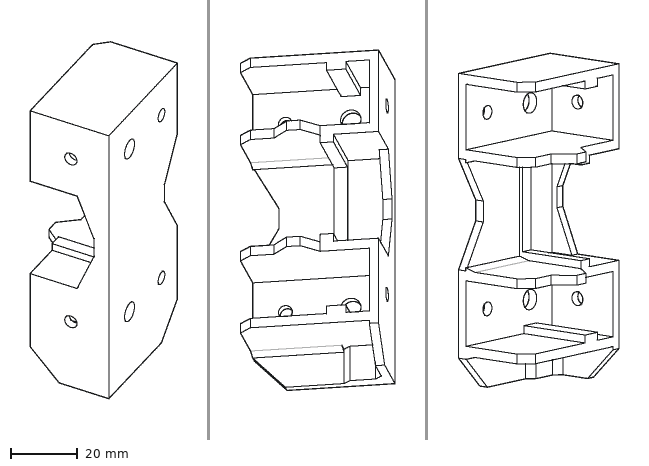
import cadquery as cq

length_x = 33.0
width_y = 43.0
height_z = 97.0
wall = 3.0
side_wall = 2.8
overlap = 0.2

bay_height = 20.0
bay_pitch = 60.0
upper_bay_z = height_z - wall - bay_height / 2
lower_bay_z = upper_bay_z - bay_pitch
gap_z = (upper_bay_z + lower_bay_z) / 2
gap_half = (bay_pitch - bay_height) / 2 - wall
skirt_z = lower_bay_z - bay_height / 2 - wall

tongue_reach = 6.0
open_x = tongue_reach
plate_x = length_x - wall

shelf_chamfer_x = 4.1
shelf_chamfer_y = 3.8
tongue_root_y = (17.8, 31.9)
tongue_tip_y = (22.8, 27.0)

ledge_height = 2.4
bay_ledge_y = (10.0, 15.9)
gap_ledge_y = (13.8, 17.8)
rib_height = 1.1
gusset_run = 3.6
gusset_rise = 1.0

wall_hole_x = 20.0
small_hole = 4.2
large_hole = 6.2
small_hole_y = 33.0
large_hole_y = 13.0

corner_cut = 10.0
notch_flat_half = 3.2
plate_notch_y = 34.9
wall_notch_start_x = 22.1
wall_notch_end_x = 27.9

step_size = 2.2
step_start_y = 15.0
step_end_y = 5.0


def box(x, y, z):
    """Block spanning the given (low, high) pairs."""
    return cq.Workplane("XY").box(
        x[1] - x[0], y[1] - y[0], z[1] - z[0], centered=False
    ).translate((x[0], y[0], z[0]))


def back_plate():
    """Plate with a tapered notch and a cut lower corner on its +Y edge."""
    outline = [
        (0, 0),
        (width_y - corner_cut, 0),
        (width_y, corner_cut),
        (width_y, gap_z - gap_half),
        (plate_notch_y, gap_z - notch_flat_half),
        (plate_notch_y, gap_z + notch_flat_half),
        (width_y, gap_z + gap_half),
        (width_y, height_z),
        (0, height_z),
    ]
    return cq.Workplane("YZ").workplane(offset=plate_x).polyline(outline).close().extrude(wall)


def side_plate():
    """Wall on the -Y side, opened between the bays and cut at the bottom."""
    outline = [
        (open_x + corner_cut, 0),
        (length_x, 0),
        (length_x, height_z),
        (open_x, height_z),
        (open_x, gap_z + gap_half),
        (wall_notch_start_x, gap_z + gap_half),
        (wall_notch_end_x, gap_z + notch_flat_half),
        (wall_notch_end_x, gap_z - notch_flat_half),
        (wall_notch_start_x, gap_z - gap_half),
        (open_x, gap_z - gap_half),
        (open_x, corner_cut),
    ]
    return cq.Workplane("XZ").polyline(outline).close().extrude(-side_wall)


def shelf(bottom_z, has_tongue):
    """Horizontal wall with a cut front corner and an optional tongue."""
    outline = [(open_x, 0)]
    if has_tongue:
        outline += [
            (open_x, tongue_root_y[0]),
            (0, tongue_tip_y[0]),
            (0, tongue_tip_y[1]),
            (open_x, tongue_root_y[1]),
        ]
    outline += [
        (open_x, width_y - shelf_chamfer_y),
        (open_x + shelf_chamfer_x, width_y),
        (length_x, width_y),
        (length_x, 0),
    ]
    return cq.Workplane("XY").workplane(offset=bottom_z).polyline(outline).close().extrude(wall)


def ledge(y, base_z, direction, end_x):
    """Raised strip along X on a shelf face; direction is +1 up or -1 down."""
    z = sorted((base_z - direction * overlap, base_z + direction * ledge_height))
    return box((open_x, end_x + overlap), y, z)


def gusset(base_z, direction, start_y):
    """Sloped strip along Y in the corner between a shelf and the back plate."""
    outline = [
        (plate_x - gusset_run, base_z),
        (plate_x, base_z + direction * gusset_rise),
        (plate_x + overlap, base_z + direction * gusset_rise),
        (plate_x + overlap, base_z - direction * overlap),
        (plate_x - gusset_run, base_z - direction * overlap),
    ]
    strip = cq.Workplane("XZ").polyline(outline).close().extrude(-(width_y - start_y))
    return strip.translate((0, start_y, 0))


def skirt_steps():
    """Two sloped steps from the back plate up to the side wall."""
    outline = [
        (plate_x + overlap, step_start_y),
        (plate_x, step_start_y),
        (plate_x - step_size, step_start_y - step_size),
        (plate_x - step_size, step_end_y),
        (plate_x - 2 * step_size, side_wall),
        (plate_x - 2 * step_size, side_wall - overlap),
        (plate_x + overlap, side_wall - overlap),
    ]
    return cq.Workplane("XY").polyline(outline).close().extrude(skirt_z + overlap)


def hole(plane, diameter, center, depth):
    """Round cutter starting at a main plane and running along its normal."""
    return cq.Workplane(plane).center(*center).circle(diameter / 2).extrude(depth)


result = back_plate().union(side_plate())

for bay_z, gap_side in ((upper_bay_z, -1), (lower_bay_z, 1)):
    for side in (-1, 1):
        center_z = bay_z + side * (bay_height + wall) / 2
        result = result.union(shelf(center_z - wall / 2, side == gap_side))
    outer_face_z = bay_z - gap_side * bay_height / 2
    gap_face_z = bay_z + gap_side * (bay_height / 2 + wall)
    result = result.union(ledge(bay_ledge_y, outer_face_z, gap_side, plate_x))
    result = result.union(ledge(gap_ledge_y, gap_face_z, gap_side, plate_x))
    result = result.union(gusset(gap_face_z, gap_side, gap_ledge_y[1]))

rib_z = (gap_z - gap_half - overlap, gap_z + gap_half + overlap)
result = result.union(box((plate_x - rib_height, plate_x + overlap), gap_ledge_y, rib_z))

result = result.union(gusset(skirt_z, -1, step_start_y))
result = result.union(skirt_steps())

for bay_z in (upper_bay_z, lower_bay_z):
    result = result.cut(hole("XZ", small_hole, (wall_hole_x, bay_z), -side_wall))
    result = result.cut(hole("YZ", small_hole, (small_hole_y, bay_z), length_x))
    result = result.cut(hole("YZ", large_hole, (large_hole_y, bay_z), length_x))